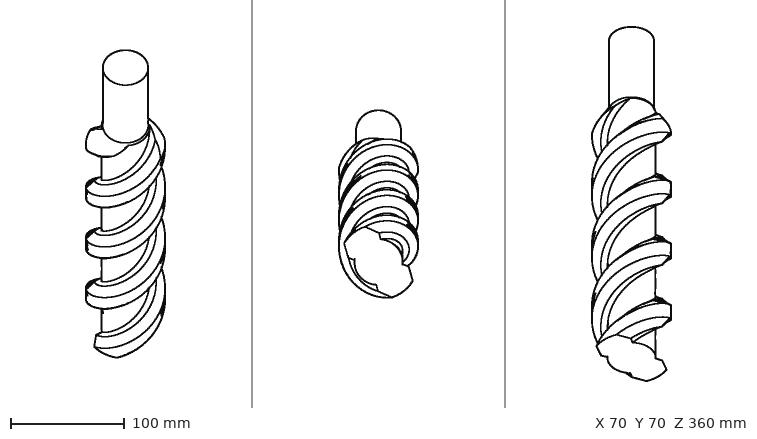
import cadquery as cq
import math

total_length = 360.0
shank_diameter = 40.0
shank_length = 80.0
screw_length = total_length - shank_length
screw_turns = 2

crest_radius = 35.0
shoulder_radius = 27.0
core_radius = 21.2
lobe_direction = 90.0
crest_half_angle = 20.0
shoulder_half_angle = 41.0
root_half_angle = 45.0

cone_half_angle = 30.0
envelope_clearance = 3.5


def polar(radius, angle):
    """Return the XY point at a radius and an angle in degrees."""
    radians = math.radians(angle)
    return radius * math.cos(radians), radius * math.sin(radians)


def screw_section():
    """Two opposite lobes with kinked flanks, joined by arcs of the core circle."""
    section = cq.Workplane("XY").moveTo(*polar(core_radius, lobe_direction - root_half_angle))
    for lobe in (lobe_direction, lobe_direction + 180):
        section = (
            section.lineTo(*polar(shoulder_radius, lobe - shoulder_half_angle))
            .lineTo(*polar(crest_radius, lobe - crest_half_angle))
            .threePointArc(polar(crest_radius, lobe), polar(crest_radius, lobe + crest_half_angle))
            .lineTo(*polar(shoulder_radius, lobe + shoulder_half_angle))
            .lineTo(*polar(core_radius, lobe + root_half_angle))
            .threePointArc(
                polar(core_radius, lobe + 90),
                polar(core_radius, lobe + 180 - root_half_angle),
            )
        )
    return section.close()


def end_envelope():
    """Solid of revolution that limits the screw: a cylinder with a conical top."""
    shank_radius = shank_diameter / 2
    envelope_radius = crest_radius + envelope_clearance
    cone_height = (envelope_radius - shank_radius) / math.tan(math.radians(cone_half_angle))
    return (
        cq.Workplane("XZ")
        .moveTo(0, 0)
        .lineTo(envelope_radius, 0)
        .lineTo(envelope_radius, screw_length - cone_height)
        .lineTo(shank_radius, screw_length)
        .lineTo(0, screw_length)
        .close()
        .revolve(360, (0, 0, 0), (0, 1, 0))
    )


screw = screw_section().twistExtrude(screw_length, 360 * screw_turns).intersect(end_envelope())

shank = cq.Workplane("XY").workplane(offset=screw_length).circle(shank_diameter / 2).extrude(shank_length)

result = screw.union(shank)